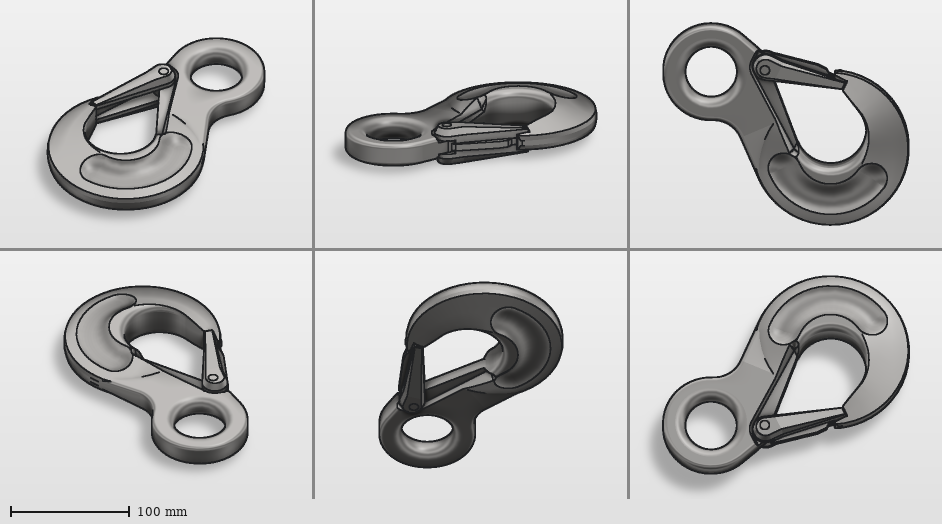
import cadquery as cq
import math

EYE_RADIUS = 40.5
EYE_HOLE_RADIUS = 43.0 / 2
EYE_HALF_THICKNESS = 9.7
EYE_HOLE_ROUND = 8.8
EYE_RIM_ROUND = 3.8

OUTER_CENTRE = (13.0, -118.8)
OUTER_RADIUS = 66.0
INNER_CENTRE = (0, -112.5)
INNER_RADIUS = 29.8
SHANK_ANGLE = 40.3
MOUTH_ANGLE = 43
TIP_INNER_ANGLE = 206
TIP_OUTER_ANGLE = 162
CREST_HALF_THICKNESS = 16.5
CREST_RADIUS = 28.6
RIM_HALF_THICKNESS = 6.3
RIM_BAND_HALF_WIDTH = 2.3
RIM_DRAFT = 1.0
BOWL_INNER_ROUND = 6.8

HOLLOW_RADIUS = 24.1
TIP_TOP = -93.5
TIP_WALL_X = -45.0
TIP_CHAMFER = 3.0
LEDGE_Y = -105.5

SHANK_BEND = (26.2, -56.4)
SHANK_DROP = 4.5
SHANK_DROP_LENGTH = 51.9
SHANK_REACH = 58.6

TROUGH_TUBE_RADIUS = 20.7
TROUGH_RADIUS = 46.0
TROUGH_HEIGHT = 27.3
TROUGH_START = -80.5
TROUGH_END = 41.0

PIN_CENTRE = (-24.0, -38.5)
PIN_RADIUS = 8.0 / 2
TONGUE_HALF_THICKNESS = 5.2
TONGUE_END_RADIUS = 9.0
TONGUE_END_MIDDLE = 210
NECK_ANGLE = 165
RECESS_RADIUS = 11.3
RECESS_WALL_ANGLE = 36
RECESS_END_Y = -91.3
RECESS_DRAFT = 25

LATCH_CENTRE = (-25.5, -38.5)
LATCH_END_RADIUS = 10.8
LATCH_HALF_WIDTH = 16.0
LATCH_BEND_Y = -49.5
LATCH_TIP_Y = -104.6
LATCH_TIP_HALF_WIDTH = 10.5
LATCH_TIP_LEFT = -44.0
LATCH_TIP_RIGHT = -37.5
LATCH_SIDE_HALF_WIDTH = 10.0
LATCH_DRAFT = 26
SLOT_HALF_WIDTH = 5.9
WEB_TOP = -41.7
WEB_THICKNESS = 2.7
RIB_HALF_WIDTH = 3.0
RIB_POINTS = [(-37.9, -41.0), (-45.5, -77.3), (-45.5, -85.7), (-42.6, -90.0)]

STRAIGHT_LENGTH = 67.6
FAR = 225.5


def polar(centre, radius, degrees):
    angle = math.radians(degrees)
    return (centre[0] + radius * math.cos(angle), centre[1] + radius * math.sin(angle))


def tangent_angle(centre, radius, point, side):
    """Direction from the centre to where a line through the point touches the circle."""
    dx, dy = point[0] - centre[0], point[1] - centre[1]
    spread = math.acos(radius / math.hypot(dx, dy))
    return math.degrees(math.atan2(dy, dx) + side * spread)


def slab(sketch, half_thickness):
    return sketch.extrude(half_thickness, both=True)



def back_hollow():
    """Centre of the arc that touches the eye and the straight back, and its direction from the eye."""
    outward = polar((0, 0), 1, SHANK_ANGLE)
    line_distance = outward[0] * OUTER_CENTRE[0] + outward[1] * OUTER_CENTRE[1] + OUTER_RADIUS
    centre_distance = EYE_RADIUS + HOLLOW_RADIUS
    offset = math.degrees(math.acos((line_distance + HOLLOW_RADIUS) / centre_distance))
    angle = SHANK_ANGLE - offset
    return polar((0, 0), centre_distance, angle), angle


def hook_outline():
    neck_corner = polar(PIN_CENTRE, TONGUE_END_RADIUS, NECK_ANGLE)
    neck_tangent = tangent_angle((0, 0), EYE_RADIUS, neck_corner, -1)

    tip_start = polar(INNER_CENTRE, INNER_RADIUS, TIP_INNER_ANGLE)
    tip_slope = math.radians(TIP_INNER_ANGLE - 90)
    ledge_x = tip_start[0] + (LEDGE_Y - tip_start[1]) / math.tan(tip_slope)
    tip_left = polar(OUTER_CENTRE, OUTER_RADIUS, TIP_OUTER_ANGLE)

    mouth_start = polar(INNER_CENTRE, INNER_RADIUS, MOUTH_ANGLE)
    normal = polar((0, 0), 1, MOUTH_ANGLE)
    pin_depth = sum(n * (p - m) for n, p, m in zip(normal, PIN_CENTRE, mouth_start))
    tongue_angle = MOUTH_ANGLE - 180 + math.degrees(math.acos(pin_depth / TONGUE_END_RADIUS))

    hollow_centre, hollow_angle = back_hollow()

    return (
        cq.Workplane("XY")
        .moveTo(*polar((0, 0), EYE_RADIUS, neck_tangent))
        .threePointArc((0, EYE_RADIUS), polar((0, 0), EYE_RADIUS, hollow_angle))
        .threePointArc(
            polar(hollow_centre, HOLLOW_RADIUS, (hollow_angle + SHANK_ANGLE) / 2 + 180),
            polar(hollow_centre, HOLLOW_RADIUS, SHANK_ANGLE + 180),
        )
        .lineTo(*polar(OUTER_CENTRE, OUTER_RADIUS, SHANK_ANGLE))
        .threePointArc(polar(OUTER_CENTRE, OUTER_RADIUS, -90), tip_left)
        .lineTo(tip_left[0], TIP_TOP - TIP_CHAMFER)
        .lineTo(tip_left[0] + TIP_CHAMFER, TIP_TOP)
        .lineTo(TIP_WALL_X, TIP_TOP)
        .lineTo(TIP_WALL_X, LEDGE_Y)
        .lineTo(ledge_x, LEDGE_Y)
        .lineTo(*tip_start)
        .threePointArc(polar(INNER_CENTRE, INNER_RADIUS, -90), mouth_start)
        .lineTo(*polar(PIN_CENTRE, TONGUE_END_RADIUS, tongue_angle))
        .threePointArc(polar(PIN_CENTRE, TONGUE_END_RADIUS, TONGUE_END_MIDDLE), neck_corner)
        .close()
    )


def inner_rounding():
    """Material that rounds the bowl's inner edge: one ring and one bar along each straight side."""
    low = CREST_HALF_THICKNESS - BOWL_INNER_ROUND
    bulge = BOWL_INNER_ROUND * (1 - math.sqrt(0.5))

    def profile(plane, edge):
        return (
            cq.Workplane(plane)
            .moveTo(edge, low)
            .threePointArc(
                (edge + bulge, CREST_HALF_THICKNESS - bulge),
                (edge + BOWL_INNER_ROUND, CREST_HALF_THICKNESS),
            )
            .lineTo(edge, CREST_HALF_THICKNESS)
            .close()
        )

    ring = profile("XZ", INNER_RADIUS).revolve(360, (0, 0, 0), (0, 1, 0))
    corners = [ring.translate((*INNER_CENTRE, 0))]
    for angle, turn in ((MOUTH_ANGLE, 1), (TIP_INNER_ANGLE, -1)):
        start = polar(INNER_CENTRE, INNER_RADIUS, angle)
        outward = (*polar((0, 0), 1, angle), 0)
        along = polar((0, 0), 1, angle + turn * 90)
        plane = cq.Plane(origin=(*start, 0), xDir=outward, normal=(-turn * along[0], -turn * along[1], 0))
        corners.append(profile(plane, 0).extrude(-turn * STRAIGHT_LENGTH))
    return corners


def bowl():
    """Crescent that is thickest at its inner edge and falls off towards its rim."""
    profile = [
        (0, 0),
        (OUTER_RADIUS + RIM_DRAFT, 0),
        (OUTER_RADIUS + RIM_DRAFT, RIM_BAND_HALF_WIDTH),
        (OUTER_RADIUS, RIM_BAND_HALF_WIDTH),
        (OUTER_RADIUS - RIM_DRAFT, RIM_HALF_THICKNESS),
        (CREST_RADIUS, CREST_HALF_THICKNESS),
        (0, CREST_HALF_THICKNESS),
    ]
    cone = cq.Workplane("XZ").polyline(profile).close().revolve(360, (0, 0, 0), (0, 1, 0))
    cone = cone.union(cone.mirror("XY")).translate((*OUTER_CENTRE, 0))
    body = slab(hook_outline(), FAR).intersect(cone)
    for corner in inner_rounding():
        body = body.cut(corner).cut(corner.mirror("XY"))
    return body


def side_profile():
    """Thickness of the eye and shank: level up to the bend, then thinner towards the bowl."""
    profile = [
        (-FAR, 0),
        (-FAR, EYE_HALF_THICKNESS),
        (0, EYE_HALF_THICKNESS),
        (SHANK_DROP_LENGTH, EYE_HALF_THICKNESS - SHANK_DROP),
        (SHANK_DROP_LENGTH, 0),
    ]
    along = (*polar((0, 0), 1, SHANK_ANGLE - 90), 0)
    across = (along[1], -along[0], 0)
    plane = cq.Plane(origin=(*SHANK_BEND, 0), xDir=along, normal=across)
    half = slab(cq.Workplane(plane).polyline(profile).close(), SHANK_REACH)
    return half.union(half.mirror("XY"))


def eye_hole():
    """Round hole with a flared mouth on each face."""
    flare = EYE_HOLE_ROUND
    low = EYE_HALF_THICKNESS - flare
    inset = flare * (1 - math.sqrt(0.5))
    half = (
        cq.Workplane("XZ")
        .lineTo(EYE_HOLE_RADIUS, 0)
        .lineTo(EYE_HOLE_RADIUS, low)
        .threePointArc(
            (EYE_HOLE_RADIUS + inset, EYE_HALF_THICKNESS - inset),
            (EYE_HOLE_RADIUS + flare, EYE_HALF_THICKNESS),
        )
        .lineTo(0, EYE_HALF_THICKNESS)
        .close()
        .revolve(360, (0, 0, 0), (0, 1, 0))
    )
    return half.union(half.mirror("XY"))


def shank_and_eye():
    plate = slab(hook_outline(), FAR).intersect(side_profile())
    for side in (1, -1):
        ring_edge = cq.selectors.NearestToPointSelector((0, EYE_RADIUS, side * EYE_HALF_THICKNESS))
        plate = plate.edges(ring_edge).fillet(EYE_RIM_ROUND)
    return plate.cut(eye_hole())


def thumb_trough():
    """Groove of circular section that follows the outer circle and ends in two balls."""
    tube = (
        cq.Workplane("XZ")
        .center(TROUGH_RADIUS, TROUGH_HEIGHT)
        .circle(TROUGH_TUBE_RADIUS)
        .revolve(TROUGH_END - TROUGH_START, (-TROUGH_RADIUS, 0, 0), (-TROUGH_RADIUS, 1, 0))
        .rotate((0, 0, 0), (0, 0, 1), TROUGH_START)
    )
    for angle in (TROUGH_START, TROUGH_END):
        ball = cq.Workplane("XY").sphere(TROUGH_TUBE_RADIUS)
        tube = tube.union(ball.translate((*polar((0, 0), TROUGH_RADIUS, angle), TROUGH_HEIGHT)))
    return tube.translate((*OUTER_CENTRE, 0))


def latch_recess():
    """Step down to the tongue: around the latch's round end, then along the front of the shank."""
    wall_start = polar(LATCH_CENTRE, RECESS_RADIUS, RECESS_WALL_ANGLE)
    run = (wall_start[1] - RECESS_END_Y) / math.cos(math.radians(RECESS_WALL_ANGLE))
    wall_end = polar(wall_start, run, RECESS_WALL_ANGLE - 90)
    corner_top = LATCH_CENTRE[1] + RECESS_RADIUS
    left = PIN_CENTRE[0] - 2 * RECESS_RADIUS
    sketch = (
        cq.Workplane("XY", origin=(0, 0, TONGUE_HALF_THICKNESS))
        .moveTo(left, corner_top)
        .lineTo(LATCH_CENTRE[0], corner_top)
        .threePointArc(polar(LATCH_CENTRE, RECESS_RADIUS, (90 + RECESS_WALL_ANGLE) / 2), wall_start)
        .lineTo(*wall_end)
        .lineTo(wall_end[0] - RECESS_RADIUS, wall_end[1])
        .lineTo(left, wall_start[1] - RECESS_RADIUS)
        .close()
    )
    return sketch.extrude(CREST_HALF_THICKNESS, taper=-RECESS_DRAFT)


def pin_cylinder():
    return slab(cq.Workplane("XY").center(*PIN_CENTRE).circle(PIN_RADIUS), LATCH_HALF_WIDTH)


def make_hook():
    body = shank_and_eye().union(bowl())
    for cutter in (thumb_trough(), latch_recess()):
        body = body.cut(cutter).cut(cutter.mirror("XY"))
    return body.cut(pin_cylinder())



def latch_side_taper():
    """Wedge that narrows the latch from its bend to its tip."""
    half = [
        (FAR, 0),
        (FAR, LATCH_HALF_WIDTH),
        (LATCH_BEND_Y, LATCH_HALF_WIDTH),
        (LATCH_TIP_Y, LATCH_TIP_HALF_WIDTH),
        (LATCH_TIP_Y, 0),
    ]
    wedge = slab(cq.Workplane("YZ").polyline(half).close(), FAR)
    return wedge.union(wedge.mirror("XY"))


def latch_edge(inset):
    """Outer edge of the latch from its round end to its tip, moved inwards by the inset."""
    left = LATCH_CENTRE[0] - LATCH_END_RADIUS + inset
    return [(left, LATCH_CENTRE[1]), (left, LATCH_BEND_Y), (LATCH_TIP_LEFT + inset, LATCH_TIP_Y)]


def latch_slot():
    """Gap between the cheeks: open above the web and on the inner side of it."""
    points = latch_edge(WEB_THICKNESS)
    points[0] = (points[0][0], WEB_TOP)
    sketch = (
        cq.Workplane("XY")
        .polyline([*points, (FAR, LATCH_TIP_Y), (FAR, FAR), (-FAR, FAR), (-FAR, WEB_TOP)])
        .close()
    )
    return slab(sketch, SLOT_HALF_WIDTH)


def latch_outline():
    tip_right = (LATCH_TIP_RIGHT, LATCH_TIP_Y)
    edge = latch_edge(0)
    shoulder_angle = tangent_angle(LATCH_CENTRE, LATCH_END_RADIUS, tip_right, 1)
    shoulder = polar(LATCH_CENTRE, LATCH_END_RADIUS, shoulder_angle)
    return (
        cq.Workplane("XY")
        .moveTo(*edge[0])
        .threePointArc((LATCH_CENTRE[0], LATCH_CENTRE[1] + LATCH_END_RADIUS), shoulder)
        .lineTo(*tip_right)
        .lineTo(*edge[2])
        .lineTo(*edge[1])
        .close()
    )


def latch_rib():
    """Narrow rib that stands out from the middle of the web."""
    root = reversed(latch_edge(WEB_THICKNESS / 2))
    return slab(cq.Workplane("XY").polyline([*RIB_POINTS, *root]).close(), RIB_HALF_WIDTH)


def make_latch():
    crown = latch_outline().extrude(LATCH_HALF_WIDTH - LATCH_SIDE_HALF_WIDTH, taper=LATCH_DRAFT)
    crown = crown.translate((0, 0, LATCH_SIDE_HALF_WIDTH))
    body = slab(latch_outline(), LATCH_SIDE_HALF_WIDTH).union(crown).union(crown.mirror("XY"))
    body = body.intersect(latch_side_taper())
    return body.cut(latch_slot()).union(latch_rib()).cut(pin_cylinder())


hook = make_hook()
latch = make_latch()
pin = pin_cylinder()
result = cq.Compound.makeCompound([hook.val(), latch.val(), pin.val()])